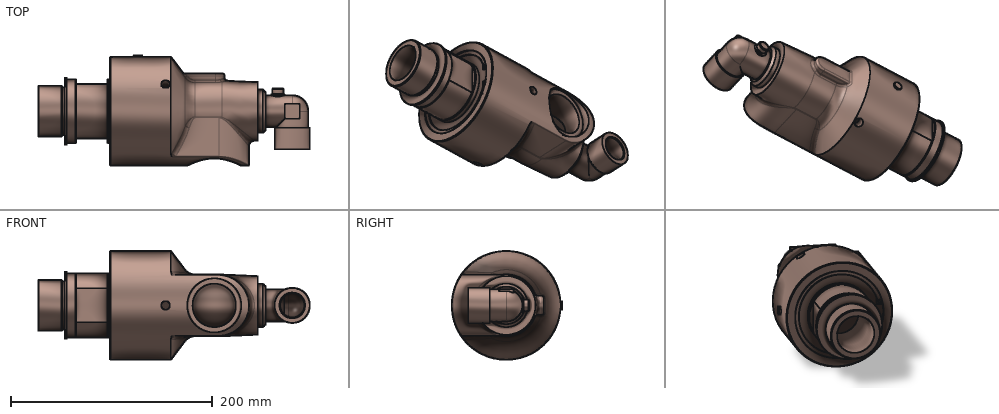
import cadquery as cq
import math


thread_dia, thread_end = 50.7, 24.0
neck_dia, neck_end = 48.0, 26.7
flange_dia, flange_end = 66.5, 28.5
collar_dia, flat_start = 64.0, 37.7
flat_end = 68.7
across_flats = 54.2
shaft_bore_dia, shaft_bore_depth = 38.0, 70.0
shaft_chamfer = 0.8

housing_start, housing_dia = 71.2, 108.0
housing_chamfer = 0.8
cone_angle = math.radians(53)
cone_blend_radius = 12.5
barrel_start, taper_start, barrel_end = 155.5, 182.0, 218.0
barrel_start_dia, barrel_end_dia = 61.5, 58.2
cap_end, cap_dia, cap_chamfer = 226.0, 43.1, 3.0

recess_dia, recess_depth = 90.0, 2.7
snap_inner_dia, snap_thickness = 82.0, 1.3
snap_gap = 15.5
ear_width, ear_inner_y, ear_hole_dia = 6.0, -38.3, 3.2

arm_half_width = 30.2
arm_round_x = 179.0
arm_fillet = 5.5
arm_edge_fillet = 0.8
port_x = 174.7
port_mouth_dia, port_ledge_y = 53.7, -45.5
port_bore_dia = 43.1
rotor_dia = thread_dia

pad_start, pad_end, pad_width, pad_top = 121.3, 185.0, 19.0, 37.5
pad_edge_fillet, pad_root_fillet = 2.2, 2.7

weep_hole_x, weep_hole_dia, weep_hole_depth = 126.5, 8.5, 13.5
weep_hole_count = 3
screw_x, screw_dia, screw_top = 99.0, 8.5, 55.67

pipe_dia = 32.0
socket_dia, socket_start_y, socket_end_y = 35.0, -16.2, -37.7
elbow_x = 269.5 - socket_dia / 2
elbow_bore_dia, socket_bore_dia, socket_mouth_dia = 22.6, 24.0, 25.5
socket_mouth_chamfer = (socket_mouth_dia - socket_bore_dia) / 2
elbow_bore_start = elbow_x - 8.0
pad_block_side, pad_block_corner = 15.0, 1.5
boss_x, boss_dia, boss_base_dia, boss_top = 237.8, 11.3, 14.0, 22.6
boss_flare_height = 1.3
boss_chamfer = 0.8


def x_cylinder(dia, start, end):
    """Cylinder on the main axis between two X positions."""
    return cq.Workplane("YZ").workplane(offset=start).circle(dia / 2).extrude(end - start)


def y_cylinder(dia, x, start, end):
    """Cylinder parallel to Y at the given X, between two Y positions."""
    return cq.Workplane("XZ", origin=(x, start, 0)).circle(dia / 2).extrude(start - end)


def make_shaft():
    thread = x_cylinder(thread_dia, 0, thread_end).edges().chamfer(shaft_chamfer)
    neck = x_cylinder(neck_dia, thread_end - shaft_chamfer, neck_end)
    flange = x_cylinder(flange_dia, neck_end, flange_end)
    collar = x_cylinder(collar_dia, flange_end, flat_start).faces(">X").edges().chamfer(shaft_chamfer)
    flat_length = flat_end - flat_start
    flats = x_cylinder(collar_dia, flat_start, flat_end).intersect(
        cq.Workplane("XY")
        .box(flat_length, across_flats, collar_dia)
        .translate((flat_start + flat_length / 2, 0, 0))
    )
    ring = x_cylinder(collar_dia, flat_end, housing_start + recess_depth)
    ring = ring.faces("<X").edges().chamfer(shaft_chamfer)
    return thread.union(neck).union(flange).union(collar).union(flats).union(ring)


def make_housing():
    """Turned housing: drum, cone blended into a tapered barrel and end cap.

    The final turn keeps the seam of the revolved faces at -Z, clear of the pad and the arm.
    """
    drum_radius = housing_dia / 2
    barrel_radius = barrel_start_dia / 2
    blend_x = barrel_start - cone_blend_radius * math.sin(cone_angle)
    blend_radius = barrel_radius + cone_blend_radius * (1 - math.cos(cone_angle))
    cone_start = blend_x - (drum_radius - blend_radius) / math.tan(cone_angle)
    half_angle = cone_angle / 2
    blend_mid = (
        barrel_start - cone_blend_radius * math.sin(half_angle),
        barrel_radius + cone_blend_radius * (1 - math.cos(half_angle)),
    )
    return (
        cq.Workplane("XY")
        .moveTo(housing_start, 0)
        .lineTo(housing_start, drum_radius - housing_chamfer)
        .lineTo(housing_start + housing_chamfer, drum_radius)
        .lineTo(cone_start, drum_radius)
        .lineTo(blend_x, blend_radius)
        .threePointArc(blend_mid, (barrel_start, barrel_radius))
        .lineTo(taper_start, barrel_radius)
        .lineTo(barrel_end, barrel_end_dia / 2)
        .lineTo(barrel_end, cap_dia / 2)
        .lineTo(cap_end - cap_chamfer, cap_dia / 2)
        .lineTo(cap_end, cap_dia / 2 - cap_chamfer)
        .lineTo(cap_end, 0)
        .close()
        .revolve(360, (0, 0, 0), (1, 0, 0))
        .rotate((0, 0, 0), (1, 0, 0), -90)
    )


def make_arm():
    """Round-ended arm for the port, trimmed to the drum diameter."""
    arm_start = housing_start + recess_depth + 27
    arm = (
        cq.Workplane("XZ")
        .moveTo(arm_start, -arm_half_width)
        .lineTo(arm_round_x, -arm_half_width)
        .threePointArc((arm_round_x + arm_half_width, 0), (arm_round_x, arm_half_width))
        .lineTo(arm_start, arm_half_width)
        .close()
        .extrude(housing_dia)
    )
    arm = arm.intersect(x_cylinder(housing_dia, arm_start, barrel_end))
    outer_edge = cq.selectors.NearestToPointSelector((arm_round_x + arm_half_width, -housing_dia / 2, 0))
    return arm.edges(outer_edge).fillet(arm_edge_fillet)


def make_back_pad():
    """Round-ended flat pad with a softened top edge."""
    pad_length = pad_end - pad_start
    return (
        cq.Workplane("XZ", origin=((pad_start + pad_end) / 2, 0, 0))
        .slot2D(pad_length, pad_width)
        .extrude(-pad_top)
        .faces(">Y")
        .edges()
        .fillet(pad_edge_fillet)
    )


def make_blended_housing():
    """Turned housing with the pad and the arm blended into it."""
    barrel_radius = barrel_start_dia / 2
    body = make_housing().union(make_back_pad())
    pad_root = cq.selectors.NearestToPointSelector((pad_end, barrel_radius, 0))
    body = body.edges(pad_root).fillet(pad_root_fillet)
    body = body.union(make_arm())
    arm_root = cq.selectors.NearestToPointSelector((arm_round_x + arm_half_width, -barrel_radius, 0))
    return body.edges(arm_root).fillet(arm_fillet)


def make_port_cut():
    """Counterbored port that bottoms on the rotor running along the main axis."""
    mouth = y_cylinder(port_mouth_dia, port_x, port_ledge_y, -housing_dia)
    bore = y_cylinder(port_bore_dia, port_x, 0, port_ledge_y)
    rotor = x_cylinder(rotor_dia, housing_start, barrel_end)
    return mouth.union(bore.cut(rotor))


def make_face_recess():
    recess_end = housing_start + recess_depth
    return x_cylinder(recess_dia, housing_start, recess_end)


def make_snap_ring():
    """Open ring on the recess floor, with a drilled ear at each end of its gap."""
    start = housing_start + recess_depth - snap_thickness
    end = housing_start + recess_depth
    disc = x_cylinder(recess_dia, start, end)
    ring = disc.cut(x_cylinder(snap_inner_dia, start, end))
    gap = cq.Workplane("YZ", origin=(start, -recess_dia / 2, 0)).rect(recess_dia / 2, snap_gap)
    ring = ring.cut(gap.extrude(snap_thickness))
    ear_depth = ear_inner_y + recess_dia / 2
    for side in (1, -1):
        ear_z = side * (snap_gap + ear_width) / 2
        ear_center = (start, ear_inner_y - ear_depth / 2, ear_z)
        ear = cq.Workplane("YZ", origin=ear_center).rect(ear_depth, ear_width).extrude(snap_thickness)
        hole = cq.Workplane("YZ", origin=ear_center).circle(ear_hole_dia / 2).extrude(snap_thickness)
        ring = ring.union(ear.intersect(disc)).cut(hole)
    return ring


def make_weep_holes():
    """Blind radial holes spaced evenly around the drum, the first one facing -Y."""
    floor_y = weep_hole_depth - housing_dia / 2
    hole = y_cylinder(weep_hole_dia, weep_hole_x, floor_y, -housing_dia)
    holes = cq.Workplane("XY")
    for index in range(weep_hole_count):
        angle = 360 * index / weep_hole_count
        holes = holes.add(hole.rotate((0, 0, 0), (1, 0, 0), angle))
    return holes.combine()


def make_elbow():
    along_x = x_cylinder(pipe_dia, barrel_end, elbow_x)
    corner = cq.Workplane("XY").sphere(pipe_dia / 2).translate((elbow_x, 0, 0))
    along_y = y_cylinder(pipe_dia, elbow_x, 0, socket_start_y)
    socket = y_cylinder(socket_dia, elbow_x, socket_start_y, socket_end_y)
    block = (
        cq.Workplane("XY", origin=(elbow_x, 0, 0))
        .rect(pad_block_side, pad_block_side)
        .extrude(pipe_dia / 2)
        .edges("|Z")
        .fillet(pad_block_corner)
    )
    boss = y_cylinder(boss_dia, boss_x, boss_top, 0).faces(">Y").edges().chamfer(boss_chamfer)
    flare = (
        cq.Workplane("XZ", origin=(boss_x, pipe_dia / 2, 0))
        .circle(boss_base_dia / 2)
        .workplane(offset=-boss_flare_height)
        .circle(boss_dia / 2)
        .loft()
    )
    root = y_cylinder(boss_base_dia, boss_x, pipe_dia / 2, 0)
    elbow = along_x.union(corner).union(along_y).union(socket).union(block)
    return elbow.union(boss).union(flare).union(root)


def make_elbow_bore():
    """Chamfered socket bore that turns through a ball-shaped corner into the X passage."""
    mouth = (
        cq.Workplane("XZ", origin=(elbow_x, socket_end_y + socket_mouth_chamfer, 0))
        .circle(socket_bore_dia / 2)
        .workplane(offset=socket_mouth_chamfer)
        .circle(socket_mouth_dia / 2)
        .loft()
    )
    along_y = y_cylinder(socket_bore_dia, elbow_x, 0, socket_end_y)
    corner = cq.Workplane("XY").sphere(socket_bore_dia / 2).translate((elbow_x, 0, 0))
    along_x = x_cylinder(elbow_bore_dia, elbow_bore_start, elbow_x)
    return along_y.union(mouth).union(corner).union(along_x)


housing = make_blended_housing()
housing = housing.cut(make_port_cut()).cut(make_weep_holes()).cut(make_face_recess())
housing = housing.union(make_snap_ring())
housing = housing.union(y_cylinder(screw_dia, screw_x, screw_top, 0))

result = housing.union(make_shaft()).union(make_elbow()).cut(make_elbow_bore())
result = result.cut(x_cylinder(shaft_bore_dia, 0, shaft_bore_depth))